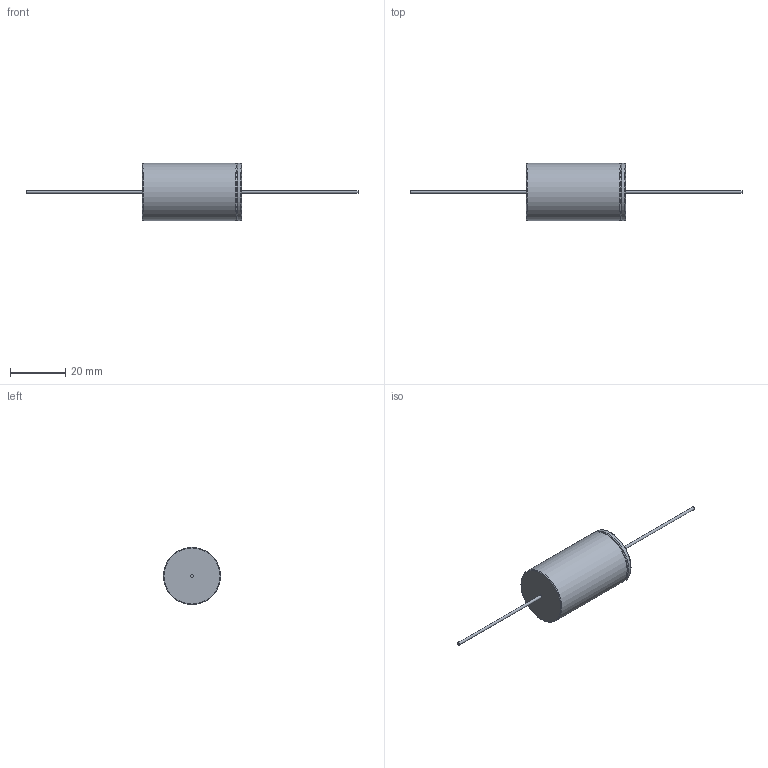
import cadquery as cq

overall_length = 119.7
body_diameter = 20.7
body_length = 35.7
lead_diameter = 1.0

edge_radius = 0.25

groove_center_x = 16.1
groove_width = 0.75
groove_depth = 0.25

body_radius = body_diameter / 2


def cylinder_along_x(diameter, length):
    """Solid cylinder on the X axis, centred on the origin."""
    return cq.Workplane("YZ", origin=(-length / 2, 0, 0)).circle(diameter / 2).extrude(length)


def make_body():
    """Capacitor can with both end edges rounded."""
    return cylinder_along_x(body_diameter, body_length).edges("%CIRCLE").fillet(edge_radius)


def make_groove_ring():
    """Ring of triangular section that cuts the V-groove around the body."""
    half_width = groove_width / 2
    section = [
        (groove_center_x - half_width, body_radius),
        (groove_center_x, body_radius - groove_depth),
        (groove_center_x + half_width, body_radius),
    ]
    return cq.Workplane("XY").polyline(section).close().revolve(360, (0, 0), (1, 0))


def make_leads():
    """Straight wire that runs through the body and forms both axial leads."""
    return cylinder_along_x(lead_diameter, overall_length)


result = make_body().cut(make_groove_ring()).union(make_leads())